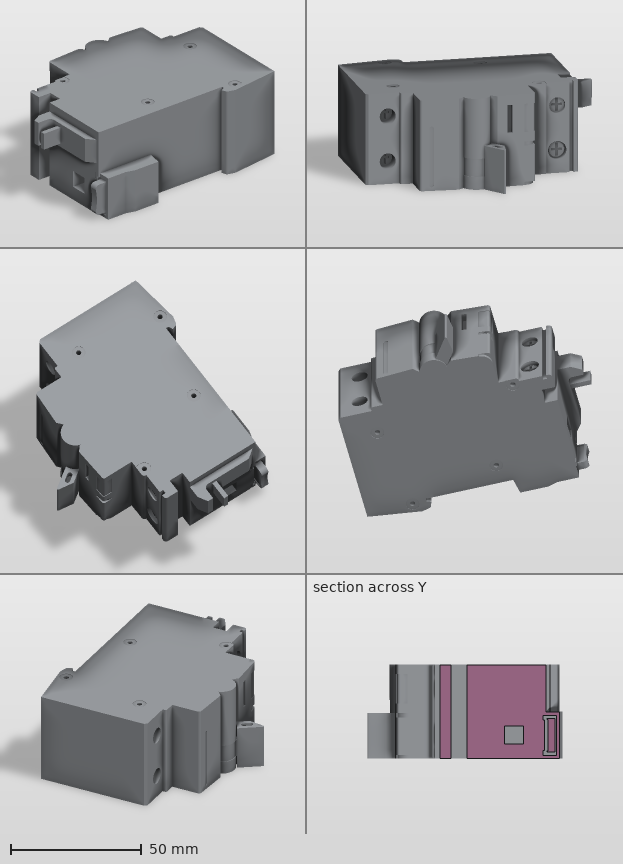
import cadquery as cq
import math

LENGTH = 94.3
WIDTH = 36.0
DEPTH = 74.63

BOTTOM_Y = 10.8
REAR_X = 68.4
MID_Y = 53.5
NOSE_HALF = 22.7
NOSE_X = 11.4
NOSE_PEAK_X = 10.5
NOSE_PEAK_HALF = 7.6
TOP_FACE_X = 25.0
STEP_X = 23.4
STEP_Y = 81.0
BOSS_X = 24.6
BOSS_Y = 22.9
LOWER_FACE_X = 25.9
LIP_Y = 10.2
LIP_X = 31.9
LIP_GROOVE_TOP = 13.9
LIP_GROOVE_BOTTOM = 12.3
LIP_GROOVE_X = 27.5
GAP_Y = 15.8
GAP_X = 37.8
CLAW_TOP_X = 70.7
CLAW_TIP = (70.3, 68.9)
CLAW_ROOT = (69.5, 70.7)
CLAW_OUTER = (72.6, 69.7)
CLAW_BACK_X = 73.5
CLAW_BACK_Y = 73.2
CORNER_RADIUS = 1.0
STEP_RADIUS = 0.7
BOSS_RADIUS = 1.25
LIP_RADIUS = 1.2

DIAL_X = 14.1
DIAL_RADIUS = 5.6
DIAL_CHORD_X = 12.8
NOTCH_X = 12.4
DIAL_CHORD_HALF = math.sqrt(DIAL_RADIUS**2 - (DIAL_X - DIAL_CHORD_X)**2)
LEVER_HEIGHT = 17.3
LEVER_GAP = 0.4
LEVER_TIP_RADIUS = 0.5
LEVER_SLOT_CENTER = (6.45, 47.0)
LEVER_SLOT_ANGLE = 36.0
LEVER_SLOT_LENGTH = 4.6
LEVER_SLOT_WIDTH = 2.0
LEVER_SLOT_DEPTH = 3.0
NECK_BOTTOM = 5.1
NECK_TOP = 12.2
TRACK_DEPTH = 0.3
TRACK_END_Y = 51.8

RIVETS = [(34.95, 81.2), (69.4, 76.1), (60.5, 40.75), (26.9, 25.65)]
RIVET_DIAMETER = 5.2
RIVET_RECESS = 0.2
RIVET_HOLE = 2.0
RIVET_HOLE_DEPTH = 4.0

SCREW_Z = (9.0, 26.8)
UPPER_SCREW_Y = 85.7
LOWER_SCREW_Y = 18.7
SCREW_HOLE = 6.3
SCREW_HEAD = 6.0
WIDE_SCREW_HOLE = 7.2
UPPER_SCREW_DEPTH = 6.0
LOWER_SCREW_DEPTH = 1.5
CROSS_LONG = 5.4
CROSS_SHORT = 4.0
CROSS_WIDTH = 1.0
CROSS_DEPTH = 1.0

LABEL_SLOT_Y = 71.75
LABEL_SLOT_BOTTOM = 1.4
LABEL_SLOT_TOP = 25.5
LABEL_SLOT_WIDTH = 1.8
SHALLOW = 0.2
WINDOW_BOTTOM = 21.0
WINDOW_TOP = 32.2
WINDOW_SLOT_Y = 40.9
WINDOW_SLOT_WIDTH = 2.0
WINDOW_SLOT_DEPTH = 3.0
TILE_X = 15.3
TILE_Y = 35.1
CORNER_SLOTS = [(0.0, 1.3), (15.6, 17.3)]
CORNER_SLOT_RADIUS = 4.3

PLATE_BOTTOM = 22.1
PLATE_TOP = 32.1
PLATE_Y = 7.95
PLATE_END_X = 63.4
PLATE_ROOT_X = 67.0
HOOK_Y = 1.75
HOOK_TAPER_Y = 5.6
HOOK_TIP_X = 40.0
HOOK_X = 42.4
HOOK_RADIUS = 1.9
PIN_X = (46.3, 48.2)
PIN_Z = (23.5, 30.4)
POCKET_X = (52.5, 59.6)
POCKET_Z = (5.6, 12.45)
POCKET_DEPTH = 8.0

FOOT_HEIGHT = 17.95
FOOT_BOTTOM_Y = 11.4
FOOT_STEP_X = 73.55
FOOT_OUTLINE = [
    (REAR_X, FOOT_BOTTOM_Y), (FOOT_STEP_X, FOOT_BOTTOM_Y), (FOOT_STEP_X, 19.9),
    (DEPTH, 23.8), (DEPTH, 34.9), (REAR_X, 36.1),
]
FOOT_LEG_X = (66.0, 66.6)
SLIDER_X = (68.6, 71.7)
SLIDER_Z = (2.4, 15.5)
SLIDER_END_Y = 6.8
SLIDER_GRIP_Y = 7.4
SLIDER_SHOULDER_Y = 8.6
SLIDER_CREST = 1.8
SLIDER_PANEL_Y = 8.2
SLIDER_PANEL_MARGIN = 0.6
SLIDER_PANEL_DEPTH = 0.4
GUIDE_X = (67.2, 72.2)
GUIDE_Z = (1.2, 16.4)
GUIDE_STOP_X = 67.8
GUIDE_DEPTH_Y = 14.0

OVERLAP = 1.0


def block(x, y, z):
    """Box from three (low, high) ranges."""
    return cq.Workplane("XY").box(
        x[1] - x[0], y[1] - y[0], z[1] - z[0], centered=False
    ).translate((x[0], y[0], z[0]))


def prism(points, bottom, top):
    """Closed XY outline extruded between two heights."""
    return cq.Workplane("XY", origin=(0, 0, bottom)).polyline(points).close().extrude(top - bottom)


def round_upright(body, points, radius, height):
    """Fillet the upright edges standing on the given XY points."""
    for x, y in points:
        edge = cq.selectors.NearestToPointSelector((x, y, height / 2))
        body = body.edges("|Z").edges(edge).fillet(radius)
    return body


def disc(x, y, radius, bottom, top):
    """Upright cylinder."""
    return cq.Workplane("XY", origin=(x, y, bottom)).circle(radius).extrude(top - bottom)


def nose_x(y):
    """X of the sloping nose face at a given Y."""
    slope = (NOSE_X - NOSE_PEAK_X) / (NOSE_HALF - NOSE_PEAK_HALF)
    return NOSE_PEAK_X + slope * (abs(y - MID_Y) - NOSE_PEAK_HALF)


def make_housing():
    """Full-width housing outline with the dial bulging between two notches."""
    nose_top = MID_Y + NOSE_HALF
    nose_bottom = MID_Y - NOSE_HALF
    outline = (
        cq.Workplane("XY")
        .moveTo(TOP_FACE_X, LENGTH)
        .lineTo(CLAW_TOP_X, LENGTH)
        .lineTo(CLAW_BACK_X, CLAW_BACK_Y)
        .lineTo(*CLAW_OUTER)
        .lineTo(*CLAW_TIP)
        .lineTo(*CLAW_ROOT)
        .lineTo(REAR_X, CLAW_ROOT[1])
        .lineTo(REAR_X, BOTTOM_Y)
        .lineTo(GAP_X, BOTTOM_Y)
        .lineTo(GAP_X, GAP_Y)
        .lineTo(LIP_X, GAP_Y)
        .lineTo(LIP_X, LIP_Y)
        .lineTo(LOWER_FACE_X, LIP_Y)
        .lineTo(LOWER_FACE_X, LIP_GROOVE_BOTTOM)
        .lineTo(LIP_GROOVE_X, LIP_GROOVE_BOTTOM)
        .lineTo(LIP_GROOVE_X, LIP_GROOVE_TOP)
        .lineTo(LOWER_FACE_X, LIP_GROOVE_TOP)
        .lineTo(LOWER_FACE_X, BOSS_Y)
        .lineTo(BOSS_X, BOSS_Y)
        .lineTo(BOSS_X, nose_bottom)
        .lineTo(NOSE_X, nose_bottom)
        .lineTo(NOSE_PEAK_X, MID_Y - NOSE_PEAK_HALF)
        .lineTo(NOTCH_X, MID_Y - DIAL_CHORD_HALF)
        .lineTo(DIAL_CHORD_X, MID_Y - DIAL_CHORD_HALF)
        .threePointArc(
            (DIAL_X - DIAL_RADIUS, MID_Y), (DIAL_CHORD_X, MID_Y + DIAL_CHORD_HALF)
        )
        .lineTo(NOTCH_X, MID_Y + DIAL_CHORD_HALF)
        .lineTo(NOSE_PEAK_X, MID_Y + NOSE_PEAK_HALF)
        .lineTo(NOSE_X, nose_top)
        .lineTo(STEP_X, nose_top)
        .lineTo(STEP_X, STEP_Y)
        .lineTo(TOP_FACE_X, STEP_Y)
        .close()
    )
    housing = outline.extrude(WIDTH)
    nose_corners = [(NOSE_X, nose_top), (NOSE_X, nose_bottom)]
    housing = round_upright(housing, nose_corners, CORNER_RADIUS, WIDTH)
    housing = round_upright(housing, [(STEP_X, STEP_Y)], STEP_RADIUS, WIDTH)
    housing = round_upright(housing, [(BOSS_X, BOSS_Y)], BOSS_RADIUS, WIDTH)
    housing = round_upright(housing, [(LOWER_FACE_X, LIP_Y)], LIP_RADIUS, WIDTH)
    housing = round_upright(housing, [CLAW_OUTER], CORNER_RADIUS, WIDTH)
    top_corner = cq.selectors.NearestToPointSelector((TOP_FACE_X, LENGTH, WIDTH / 2))
    return housing.edges("|Z").edges(top_corner).chamfer(CORNER_RADIUS)


def cut_rivets(body):
    """Shallow rivet seats with a blind centre hole, on both flat sides."""
    for x, y in RIVETS:
        for side, inward in ((WIDTH, -1), (0.0, 1)):
            for diameter, depth in (
                (RIVET_DIAMETER, RIVET_RECESS), (RIVET_HOLE, RIVET_HOLE_DEPTH)
            ):
                ends = sorted((side, side + inward * depth))
                body = body.cut(disc(x, y, diameter / 2, *ends))
    x, y = RIVETS[-1]
    half = RIVET_DIAMETER / 2
    for bottom, top in ((0.0, RIVET_RECESS), (WIDTH - RIVET_RECESS, WIDTH)):
        body = body.cut(block((x - half - OVERLAP, x), (y - half, y + half), (bottom, top)))
    return body


def cut_screw(body, face_x, y, z, hole, depth):
    """Round screw access hole with a cross-slotted screw head at its bottom."""
    body = body.cut(
        cq.Workplane("YZ", origin=(face_x, y, z)).circle(hole / 2).extrude(depth)
    )
    if hole > SCREW_HOLE:
        ring_x = face_x + depth
        ring = (
            cq.Workplane("YZ", origin=(ring_x, y, z))
            .circle(hole / 2).circle(SCREW_HEAD / 2).extrude(CROSS_DEPTH)
        )
        body = body.cut(ring)
    cross = cq.Workplane("YZ", origin=(face_x + depth, y, z))
    body = body.cut(cross.rect(CROSS_WIDTH, CROSS_LONG).extrude(CROSS_DEPTH))
    return body.cut(cross.rect(CROSS_SHORT, CROSS_WIDTH).extrude(CROSS_DEPTH))


def cut_screws(body):
    """Two terminal screws at each end; one lower hole is wider."""
    for z in SCREW_Z:
        lower_hole = WIDE_SCREW_HOLE if z == SCREW_Z[0] else SCREW_HOLE
        body = cut_screw(body, TOP_FACE_X, UPPER_SCREW_Y, z, SCREW_HOLE, UPPER_SCREW_DEPTH)
        body = cut_screw(body, LOWER_FACE_X, LOWER_SCREW_Y, z, lower_hole, LOWER_SCREW_DEPTH)
    return body


def cut_nose_details(body):
    """Label slot, window slot, corner tile and corner slots of the nose."""
    label = (
        cq.Workplane("YZ", origin=(0, LABEL_SLOT_Y, (LABEL_SLOT_BOTTOM + LABEL_SLOT_TOP) / 2))
        .slot2D(LABEL_SLOT_TOP - LABEL_SLOT_BOTTOM, LABEL_SLOT_WIDTH, 90)
        .extrude(nose_x(LABEL_SLOT_Y) + SHALLOW)
    )
    half = WINDOW_SLOT_WIDTH / 2
    window = block(
        (0, nose_x(WINDOW_SLOT_Y) + WINDOW_SLOT_DEPTH),
        (WINDOW_SLOT_Y - half, WINDOW_SLOT_Y + half),
        (WINDOW_BOTTOM, WINDOW_TOP),
    )
    nose_bottom = MID_Y - NOSE_HALF
    tile_x = (NOSE_PEAK_X, TILE_X)
    tile_y = (nose_bottom, TILE_Y)
    tile_z = (WINDOW_BOTTOM, WINDOW_TOP)
    inset_body = body.intersect(block(
        (0, TILE_X + OVERLAP), (nose_bottom, TILE_Y + OVERLAP), tile_z
    )).translate((SHALLOW, SHALLOW, 0))
    tile = block(tile_x, tile_y, tile_z).cut(inset_body)
    body = body.cut(label).cut(window).cut(tile)
    center = (nose_x(nose_bottom) + CORNER_SLOT_RADIUS, nose_bottom + CORNER_SLOT_RADIUS)
    for bottom, top in CORNER_SLOTS:
        corner = block((NOSE_PEAK_X, center[0]), (nose_bottom, center[1]), (bottom, top))
        body = body.cut(corner.cut(disc(*center, CORNER_SLOT_RADIUS, bottom, top)))
    return body


def cut_dial_track(body):
    """Shallow track in the dial for the neck of the lever."""
    ring = disc(DIAL_X, MID_Y, DIAL_RADIUS, NECK_BOTTOM, NECK_TOP).cut(
        disc(DIAL_X, MID_Y, DIAL_RADIUS - TRACK_DEPTH, NECK_BOTTOM, NECK_TOP)
    )
    sector = block(
        (DIAL_X - DIAL_RADIUS, DIAL_CHORD_X),
        (TRACK_END_Y, MID_Y + DIAL_RADIUS),
        (NECK_BOTTOM, NECK_TOP),
    )
    return body.cut(ring.intersect(sector))


def make_lever():
    """Slanted toggle lever joined to the dial by a narrower neck."""
    tip = (-0.84, 45.13)
    heel = (6.8, 44.1)
    inner_low = (11.9, 47.7)
    inner_high = (8.2, 51.4)
    dial_center = (DIAL_X, MID_Y)
    lever = prism([tip, heel, inner_low, dial_center, inner_high], 0, LEVER_HEIGHT)
    lever = round_upright(lever, [tip], LEVER_TIP_RADIUS, LEVER_HEIGHT)
    neck = lever.intersect(block((0, DIAL_X), (0, MID_Y), (NECK_BOTTOM, NECK_TOP)))
    lever = lever.cut(disc(*dial_center, DIAL_RADIUS + LEVER_GAP, 0, LEVER_HEIGHT))
    slot = (
        cq.Workplane("XY", origin=(*LEVER_SLOT_CENTER, LEVER_HEIGHT))
        .slot2D(LEVER_SLOT_LENGTH, LEVER_SLOT_WIDTH, LEVER_SLOT_ANGLE)
        .extrude(-LEVER_SLOT_DEPTH)
    )
    return lever.union(neck).cut(slot)


def make_clip_plate():
    """Plate on the lower end with a hook at the front and a sloped rear end."""
    plate = prism(
        [
            (GAP_X, BOTTOM_Y + OVERLAP), (GAP_X, HOOK_TAPER_Y), (HOOK_TIP_X, HOOK_Y),
            (HOOK_X, HOOK_Y), (HOOK_X, PLATE_Y), (PLATE_END_X, PLATE_Y),
            (PLATE_ROOT_X, BOTTOM_Y), (PLATE_ROOT_X, BOTTOM_Y + OVERLAP),
        ],
        PLATE_BOTTOM,
        PLATE_TOP,
    )
    middle = PLATE_BOTTOM + PLATE_TOP
    plate = round_upright(plate, [(HOOK_X, PLATE_Y)], HOOK_RADIUS, middle)
    return plate.union(block(PIN_X, (0, PLATE_Y + OVERLAP), PIN_Z))


def make_foot():
    """Block on the lower part of the rail face."""
    inner = [(REAR_X - OVERLAP, FOOT_OUTLINE[-1][1]), (REAR_X - OVERLAP, FOOT_BOTTOM_Y)]
    return prism(FOOT_OUTLINE + inner, 0, FOOT_HEIGHT)


def cut_slider_guide(body):
    """Pocket around the slider and thin joint grooves beside it."""
    stop_margin = SLIDER_PANEL_MARGIN
    pocket = block(GUIDE_X, (0, GUIDE_DEPTH_Y), GUIDE_Z)
    stop = block(
        (GUIDE_X[0], GUIDE_STOP_X),
        (0, GUIDE_DEPTH_Y),
        (SLIDER_Z[0] + stop_margin, SLIDER_Z[1] - stop_margin),
    )
    body = body.cut(pocket.cut(stop))
    joint_y = (BOTTOM_Y, BOTTOM_Y + SHALLOW)
    for z in ((0, SLIDER_Z[0] + stop_margin), (SLIDER_Z[1] - stop_margin, FOOT_HEIGHT)):
        body = body.cut(block(FOOT_LEG_X, joint_y, z))
    return body


def make_slider():
    """Release slider with a rounded, finger-grooved end."""
    low, high = SLIDER_Z
    middle = (low + high) / 2
    slider = (
        cq.Workplane("YZ", origin=(SLIDER_X[0], 0, 0))
        .moveTo(GUIDE_DEPTH_Y + OVERLAP, low)
        .lineTo(SLIDER_SHOULDER_Y, low)
        .threePointArc(
            (SLIDER_END_Y + SLIDER_CREST * (1 - math.sin(math.pi / 4)),
             low + SLIDER_CREST * (1 - math.sin(math.pi / 4))),
            (SLIDER_END_Y, low + SLIDER_CREST),
        )
        .threePointArc((SLIDER_GRIP_Y, middle), (SLIDER_END_Y, high - SLIDER_CREST))
        .threePointArc(
            (SLIDER_END_Y + SLIDER_CREST * (1 - math.sin(math.pi / 4)),
             high - SLIDER_CREST * (1 - math.sin(math.pi / 4))),
            (SLIDER_SHOULDER_Y, high),
        )
        .lineTo(GUIDE_DEPTH_Y + OVERLAP, high)
        .close()
        .extrude(SLIDER_X[1] - SLIDER_X[0])
    )
    panel = block(
        (SLIDER_X[0], SLIDER_X[0] + SLIDER_PANEL_DEPTH),
        (SLIDER_PANEL_Y, GUIDE_DEPTH_Y),
        (low + SLIDER_PANEL_MARGIN, high - SLIDER_PANEL_MARGIN),
    )
    return slider.cut(panel)


body = make_housing()
body = cut_nose_details(body)
body = cut_rivets(body)
body = cut_screws(body)
body = cut_dial_track(body)
body = body.union(make_lever())
body = body.union(make_clip_plate())
body = body.cut(block(POCKET_X, (BOTTOM_Y, BOTTOM_Y + POCKET_DEPTH), POCKET_Z))
body = body.union(make_foot())
body = cut_slider_guide(body)
result = body.union(make_slider())